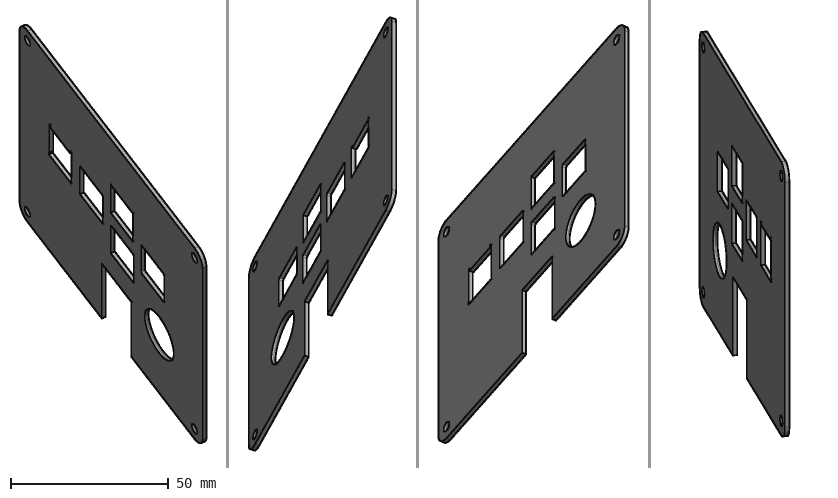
import cadquery as cq

WIDTH = 113.9
THICKNESS = 1.5
HEIGHT = 94.9
CORNER_RADIUS = 5.0

MOUNT_DIAMETER = 3.4
MOUNT_X_SPACING = WIDTH - 2 * CORNER_RADIUS
MOUNT_Z_SPACING = HEIGHT - 2 * CORNER_RADIUS

ROUND_DIAMETER = 18.0
ROUND_CENTER = (30.0, -18.6)

NOTCH_WIDTH = 18.2
NOTCH_CENTER_X = 3.4
NOTCH_HEIGHT = 27.2

WINDOW_WIDTH = 14.2
WINDOW_HEIGHT = 13.9
WINDOW_RADIUS = 0.6
SHARP_WINDOW_CENTER = (6.7, 17.8)
LEFT_WINDOW_CENTER = (-12.2, 7.2)
LOWER_WINDOW_CENTER = (7.0, -2.3)
RIGHT_WINDOW_CENTER = (25.8, 7.6)

CLIP_LEFT = -38.3
CLIP_RIGHT = -24.7
CLIP_BOTTOM = -0.1
CLIP_TOP = 14.1
CLIP_EAR_HEIGHT = 1.0
CLIP_LEFT_EAR_WIDTH = 0.3
CLIP_RIGHT_EAR_WIDTH = 0.8
CLIP_FOOT_WIDTH = 0.3
CLIP_FOOT_HEIGHT = 1.0


def through(sketch):
    """Extrude a centred XZ sketch symmetrically, well past both plate faces."""
    return sketch.extrude(THICKNESS, both=True)


def make_plate():
    plate = cq.Workplane("XY").box(WIDTH, THICKNESS, HEIGHT)
    return plate.edges("|Y").fillet(CORNER_RADIUS)


def mounting_holes():
    centers = cq.Workplane("XZ").rect(MOUNT_X_SPACING, MOUNT_Z_SPACING, forConstruction=True)
    return through(centers.vertices().circle(MOUNT_DIAMETER / 2))


def round_opening():
    return through(cq.Workplane("XZ").center(*ROUND_CENTER).circle(ROUND_DIAMETER / 2))


def bottom_notch():
    base = cq.Workplane("XZ").center(NOTCH_CENTER_X, -HEIGHT / 2)
    return through(base.rect(NOTCH_WIDTH, 2 * NOTCH_HEIGHT))


def window(center, width=WINDOW_WIDTH):
    return through(cq.Workplane("XZ").center(*center).rect(width, WINDOW_HEIGHT))


def rounded_window(center, corners):
    return window(center).edges("|Y").edges(corners).fillet(WINDOW_RADIUS)


def clip_window():
    ear_top = CLIP_TOP + CLIP_EAR_HEIGHT
    foot_top = CLIP_BOTTOM + CLIP_FOOT_HEIGHT
    outline = [
        (CLIP_LEFT - CLIP_FOOT_WIDTH, CLIP_BOTTOM),
        (CLIP_RIGHT, CLIP_BOTTOM),
        (CLIP_RIGHT, ear_top),
        (CLIP_RIGHT - CLIP_RIGHT_EAR_WIDTH, ear_top),
        (CLIP_RIGHT - CLIP_RIGHT_EAR_WIDTH, CLIP_TOP),
        (CLIP_LEFT + CLIP_LEFT_EAR_WIDTH, CLIP_TOP),
        (CLIP_LEFT + CLIP_LEFT_EAR_WIDTH, ear_top),
        (CLIP_LEFT, ear_top),
        (CLIP_LEFT, foot_top),
        (CLIP_LEFT - CLIP_FOOT_WIDTH, foot_top),
    ]
    return through(cq.Workplane("XZ").polyline(outline).close())


openings = [
    mounting_holes(),
    round_opening(),
    bottom_notch(),
    window(SHARP_WINDOW_CENTER, width=WINDOW_HEIGHT),
    rounded_window(LEFT_WINDOW_CENTER, ">Z"),
    rounded_window(LOWER_WINDOW_CENTER, ">Z"),
    rounded_window(RIGHT_WINDOW_CENTER, ">Z or <X"),
    clip_window(),
]

result = make_plate()
for opening in openings:
    result = result.cut(opening)